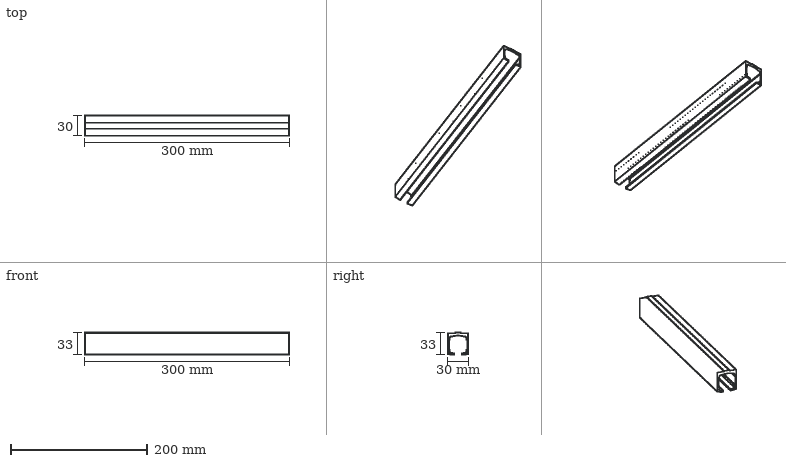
import cadquery as cq

length = 300.0
width = 30.0
height = 33.0

band_width = 8.5
band_height = 1.0

roof_edge_radius = 0.45

wall = 1.8
thick_wall = 2.7
ceiling_z = 28.2
arch_half_width = 9.0
arch_rise = 1.5
corner_radius = 2.0
recess_top_z = 22.2
recess_bottom_z = 7.8

slot_width = 11.7
lip_thickness = 2.0
lip_root_thickness = 2.55
lip_drop = 1.2
lip_foot_width = 2.5

half_width = width / 2
half_band = band_width / 2
half_slot = slot_width / 2
shoulder_z = height - band_height
inner_y = half_width - thick_wall
recess_y = half_width - wall
arch_end_z = ceiling_z - arch_rise

arch_radius = (arch_half_width**2 + arch_rise**2) / (2 * arch_rise)
lip_root_z = lip_drop + lip_root_thickness


def right_half_profile():
    """Half of the cross-section on the +Y side, closed along the centre plane."""
    return (
        cq.Workplane("YZ")
        .moveTo(0, height)
        .lineTo(half_band, height)
        .lineTo(half_band, shoulder_z)
        .lineTo(half_width - roof_edge_radius, shoulder_z)
        .radiusArc((half_width, shoulder_z - roof_edge_radius), roof_edge_radius)
        .lineTo(half_width, lip_drop)
        .lineTo(half_slot + lip_foot_width, 0)
        .lineTo(half_slot, 0)
        .lineTo(half_slot, lip_thickness)
        .lineTo(inner_y, lip_root_z)
        .lineTo(inner_y, recess_bottom_z)
        .lineTo(recess_y, recess_bottom_z)
        .lineTo(recess_y, recess_top_z)
        .lineTo(inner_y, recess_top_z)
        .lineTo(inner_y, arch_end_z - corner_radius)
        .radiusArc((inner_y - corner_radius, arch_end_z), -corner_radius)
        .lineTo(arch_half_width, arch_end_z)
        .radiusArc((0, ceiling_z), -arch_radius)
        .close()
    )


half_track = right_half_profile().extrude(length / 2, both=True)
result = half_track.union(half_track.mirror("XZ")).clean()